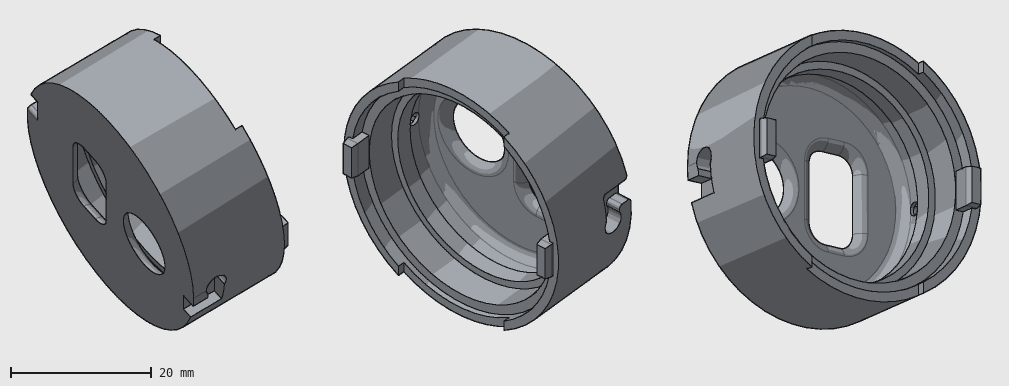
import cadquery as cq

outer_radius = 20.0
body_depth = 16.0
floor_thickness = 1.6
bore_radius = 17.0

recess_radius = 18.55
recess_depth = 2.1

ridge_radius = 15.85
ridge_start = 6.3
ridge_end = 9.05

window_width = 8.0
window_height = 14.0
window_corner = 2.6
window_x = -5.0
round_hole_radius = 5.0
round_hole_x = 8.1
opening_rounding = 1.55

notch_width = 19.6
notch_depth = 1.15

tab_inner_x = 17.05
tab_outer_x = 19.0
tab_length = 5.85
tab_base = 0.4
tab_height = 1.5
tab_taper = 10.0

slot_floor_x = 17.55
slot_depth = 5.45
slot_top = 5.3
slot_mouth_bottom = 2.05
lip_depth = 2.55
slot_rounding = 0.65
pin_y = 4.0
pin_seat_radius = 1.75
pin_hole_radius = 1.0

selection_margin = 0.2


def disc(radius, start, end):
    """Solid cylinder about the Y axis from Y = start to Y = end."""
    return cq.Workplane("XZ", origin=(0, start, 0)).circle(radius).extrude(start - end)


def cup():
    body = disc(outer_radius, 0, body_depth)
    body = body.cut(disc(bore_radius, floor_thickness, ridge_start))
    body = body.cut(disc(ridge_radius, ridge_start, ridge_end))
    body = body.cut(disc(bore_radius, ridge_end, body_depth))
    return body.cut(disc(recess_radius, body_depth - recess_depth, body_depth))


def cut_floor_openings(body):
    window = (
        cq.Workplane("XY")
        .box(window_width, 2 * floor_thickness, window_height)
        .edges("|Y")
        .fillet(window_corner)
        .translate((window_x, floor_thickness, 0))
    )
    round_hole = disc(round_hole_radius, 0, 2 * floor_thickness).translate((round_hole_x, 0, 0))
    body = body.cut(window).cut(round_hole)
    reach = bore_radius - opening_rounding
    inside_edges = cq.selectors.BoxSelector(
        (-reach, floor_thickness - selection_margin, -reach),
        (reach, floor_thickness + selection_margin, reach),
    )
    return body.edges(inside_edges).fillet(opening_rounding)


def rim_notches():
    """One bar across the rim that cuts both notches."""
    bar = cq.Workplane("XY").box(notch_width, 2 * notch_depth, 2 * outer_radius)
    return bar.translate((0, body_depth, 0))


def tab(side):
    """Straight root standing on the recess ledge, with a tapered tip."""
    width = tab_outer_x - tab_inner_x
    middle_x = side * (tab_inner_x + tab_outer_x) / 2
    base_y = body_depth + tab_base
    root_length = recess_depth + tab_base
    root = cq.Workplane("XY").box(width, root_length, tab_length)
    root = root.translate((middle_x, base_y - root_length / 2, 0))
    tip = cq.Workplane("XZ", origin=(middle_x, base_y, 0)).rect(width, tab_length)
    return root.union(tip.extrude(tab_base - tab_height, taper=tab_taper))


def cut_bayonet_slot(body, rounded_corners):
    """Cut a slot in the -X wall: in from the floor face, then down to a pin seat with a through hole.

    The corners to round are listed as (Y, Z).
    """
    slot_floor = cq.Workplane(cq.Plane((-slot_floor_x, 0, 0), (0, 1, 0), (-1, 0, 0)))
    cut_depth = outer_radius - slot_floor_x
    channel = slot_floor.polyline(
        [
            (0, -slot_top),
            (slot_depth, -slot_top),
            (slot_depth, 0),
            (lip_depth, 0),
            (lip_depth, -slot_mouth_bottom),
            (0, -slot_mouth_bottom),
        ]
    )
    body = body.cut(channel.close().extrude(cut_depth))
    body = body.cut(slot_floor.center(pin_y, 0).circle(pin_seat_radius).extrude(cut_depth))
    body = body.cut(slot_floor.center(pin_y, 0).circle(pin_hole_radius).extrude(-cut_depth))
    for y, z in rounded_corners:
        corner_edge = cq.selectors.BoxSelector(
            (-outer_radius, y - selection_margin, z - selection_margin),
            (-slot_floor_x, y + selection_margin, z + selection_margin),
        )
        body = body.edges("|X").edges(corner_edge).fillet(slot_rounding)
    return body


def half_turn(body):
    return body.rotate((0, 0, 0), (0, 1, 0), 180)


corners_to_round = [
    (slot_depth, slot_top),
    (lip_depth, slot_mouth_bottom),
    (0, slot_top),
    (0, slot_mouth_bottom),
]

result = cut_floor_openings(cup()).cut(rim_notches())
for side in (-1, 1):
    result = result.union(tab(side))

result = cut_bayonet_slot(result, corners_to_round)
result = half_turn(cut_bayonet_slot(half_turn(result), []))